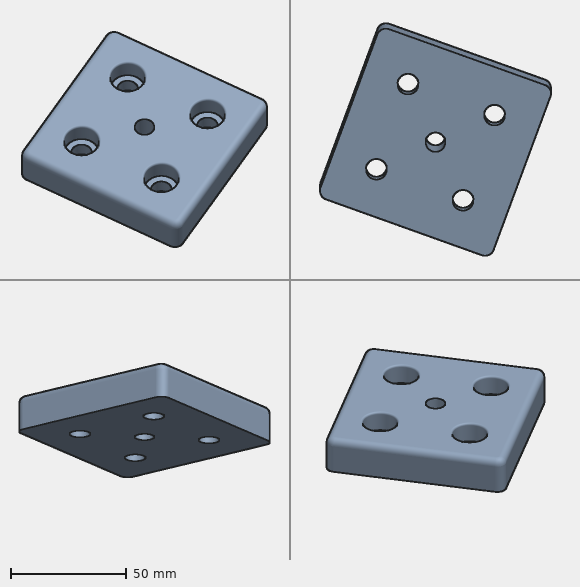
import cadquery as cq

side = 80.0
thickness = 16.0
corner_radius = 4.0
top_edge_radius = 3.0

hole_spacing = side / 2
screw_hole_diameter = 9.0
counterbore_diameter = 15.0
counterbore_depth = 9.0
mouth_radius = 1.0

center_hole_diameter = 8.5


def rounded_plate():
    """Square plate standing on Z = 0 with round corners and a rounded top rim."""
    plate = cq.Workplane("XY").box(side, side, thickness, centered=(True, True, False))
    plate = plate.edges("|Z").fillet(corner_radius)
    return plate.faces(">Z").edges().fillet(top_edge_radius)


def add_screw_holes(plate):
    """Cut the counterbored holes and round over their mouths at the top face."""
    drilled = (
        plate.faces(">Z")
        .workplane()
        .rarray(hole_spacing, hole_spacing, 2, 2)
        .cboreHole(screw_hole_diameter, counterbore_diameter, counterbore_depth)
    )
    mouths = drilled.faces(">Z").edges("%CIRCLE").edges(cq.selectors.RadiusNthSelector(-1))
    return mouths.fillet(mouth_radius)


def add_center_hole(plate):
    """Drill the plain hole through the middle of the plate."""
    return plate.faces(">Z").workplane().hole(center_hole_diameter)


result = add_center_hole(add_screw_holes(rounded_plate()))